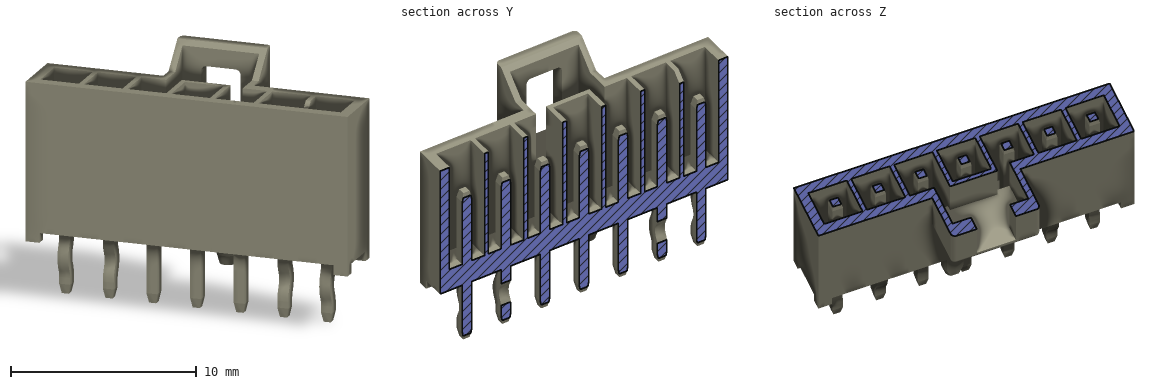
import cadquery as cq

LENGTH = 18.44
DEPTH = 3.5
TOP = 8.48
FOOT_LENGTH = 0.8
FOOT_DEPTH = 0.6
FOOT_HEIGHT = 0.55

PIN_COUNT = 7
PIN_SPAN = 15.0
PITCH = PIN_SPAN / (PIN_COUNT - 1)
ROW_Y = DEPTH / 2
CELL = 2.21
CELL_FLOOR = 1.48
PARTITION = PITCH - CELL
CELL_FRONT = ROW_Y - CELL / 2
CELL_BACK = ROW_Y + CELL / 2
PIN_X = [(i - (PIN_COUNT - 1) / 2) * PITCH for i in range(PIN_COUNT)]

PIN = 0.63
TIP = 0.4
TIP_LENGTH = 0.55
PIN_TOP = 6.27
PIN_BOTTOM = -3.78
SHANK_TOP = PIN_TOP - TIP_LENGTH
SHANK_BOTTOM = PIN_BOTTOM + TIP_LENGTH

BEND_TOP = -0.55
BEND_HALF_LENGTH = 1.15
BULGE = 0.28
BEND_SIDES = {0: -1, 1: 1, PIN_COUNT - 2: 1, PIN_COUNT - 1: -1}

LATCH_WIDTH = 5.16
LATCH_BACK = 6.35
LATCH_RISE = 1.44
LATCH_TOP = TOP + LATCH_RISE
LATCH_BOTTOM = 3.5
LATCH_SIDE_WALL = 0.39
LATCH_BACK_WALL = 0.87
LATCH_TOP_LAND = 0.59
LATCH_FLOOR = LATCH_BOTTOM + LATCH_SIDE_WALL
LATCH_ROUND = 0.25
LATCH_INSIDE = LATCH_WIDTH - 2 * LATCH_SIDE_WALL
POCKET_BACK = LATCH_BACK - LATCH_BACK_WALL
WINDOW_WIDTH = 2.25
WINDOW_TOP = TOP + 0.13
WINDOW_ROUND = 0.3

NOTCH_FLAT = 0.74
NOTCH_DROP = 0.65

PEG_X = PITCH / 2
PEG_Y = 3.12
PEG_RADIUS = 0.6
PEG_TIP_RADIUS = 0.45
PEG_SHOULDER = 1.01
PEG_TIP_LENGTH = 0.55
PEG_ROOT = CELL_FLOOR / 2


def block(x_range, y_range, z_range):
    """Box given by its limits along each axis."""
    corner = (x_range[0], y_range[0], z_range[0])
    size = [high - low for low, high in (x_range, y_range, z_range)]
    return cq.Workplane().box(*size, centered=False).translate(corner)


def centred_block(width, y_range, z_range):
    """Box symmetric about the middle of the housing."""
    return block((-width / 2, width / 2), y_range, z_range)


def make_housing():
    """Plain body with a foot at each lower corner."""
    body = centred_block(LENGTH, (0, DEPTH), (-FOOT_HEIGHT, TOP))
    under = (-FOOT_HEIGHT, 0)
    body = body.cut(centred_block(LENGTH - 2 * FOOT_LENGTH, (0, DEPTH), under))
    return body.cut(centred_block(LENGTH, (FOOT_DEPTH, DEPTH - FOOT_DEPTH), under))


def make_latch():
    """Solid latch block, sloped at the top front and rounded at the back and below."""
    slope_start = LATCH_BACK - LATCH_TOP_LAND
    profile = [
        (CELL_BACK, LATCH_BOTTOM),
        (LATCH_BACK, LATCH_BOTTOM),
        (LATCH_BACK, LATCH_TOP),
        (slope_start, LATCH_TOP),
        (slope_start - LATCH_RISE, TOP),
        (CELL_BACK, TOP),
    ]
    latch = cq.Workplane("YZ").polyline(profile).close().extrude(LATCH_WIDTH / 2, both=True)
    back_corners = latch.edges(">Y and |Z")
    bottom_edges = latch.faces("<Z").edges(">Y or <X or >X")
    return back_corners.add(bottom_edges).fillet(LATCH_ROUND)


def make_latch_pocket():
    """Space behind the middle cells, leaving the back wall of the centre cell standing."""
    heights = (LATCH_FLOOR, LATCH_TOP)
    pocket = centred_block(LATCH_INSIDE, (CELL_BACK, POCKET_BACK), heights)
    centre_wall = centred_block(CELL + 2 * PARTITION, (CELL_BACK, CELL_BACK + PARTITION), heights)
    return pocket.cut(centre_wall)


def make_latch_window():
    """Opening through the back wall of the latch, rounded at its upper corners."""
    window = centred_block(WINDOW_WIDTH, (POCKET_BACK, LATCH_BACK), (LATCH_FLOOR, WINDOW_TOP))
    return window.edges(">Z and |Y").fillet(WINDOW_ROUND)


def make_cell(x):
    return block((x - CELL / 2, x + CELL / 2), (CELL_FRONT, CELL_BACK), (CELL_FLOOR, TOP))


def make_partition_notch():
    """Cut that lowers the front of the partition between the last two cells."""
    ramp_start = CELL_FRONT + NOTCH_FLAT
    profile = [
        (CELL_FRONT, TOP),
        (CELL_FRONT, TOP - NOTCH_DROP),
        (ramp_start, TOP - NOTCH_DROP),
        (ramp_start + NOTCH_DROP, TOP),
    ]
    middle = (PIN_X[-2] + PIN_X[-1]) / 2
    notch = cq.Workplane("YZ").polyline(profile).close().extrude(PARTITION / 2, both=True)
    return notch.translate((middle, 0, 0))


def make_pin_tip(base_z, end_z):
    """Tapered square tip from base_z to end_z."""
    base = cq.Workplane().workplane(offset=base_z).rect(PIN, PIN)
    return base.workplane(offset=end_z - base_z).rect(TIP, TIP).loft(combine=True)


def make_pin(x, bend_side):
    """Square pin; a bend_side of 0 leaves it straight."""
    path = cq.Workplane("YZ").moveTo(0, SHANK_TOP)
    if bend_side:
        bend_middle = BEND_TOP - BEND_HALF_LENGTH
        half_bulge = bend_side * BULGE / 2
        path = (
            path.lineTo(0, BEND_TOP)
            .tangentArcPoint((half_bulge, bend_middle + BEND_HALF_LENGTH / 2), relative=False)
            .tangentArcPoint((half_bulge, bend_middle - BEND_HALF_LENGTH / 2), relative=False)
            .tangentArcPoint((0, bend_middle - BEND_HALF_LENGTH), relative=False)
        )
    path = path.lineTo(0, SHANK_BOTTOM)
    shank = cq.Workplane().workplane(offset=SHANK_TOP).rect(PIN, PIN).sweep(path)
    upper_tip = make_pin_tip(SHANK_TOP, PIN_TOP)
    lower_tip = make_pin_tip(SHANK_BOTTOM, PIN_BOTTOM)
    return shank.union(upper_tip).union(lower_tip).translate((x, ROW_Y, 0))


def make_peg():
    """Round peg with a conical end, trimmed flat at the back face of the housing."""
    tip_z = -PEG_SHOULDER - PEG_TIP_LENGTH
    profile = [
        (0, PEG_ROOT),
        (PEG_RADIUS, PEG_ROOT),
        (PEG_RADIUS, -PEG_SHOULDER),
        (PEG_TIP_RADIUS, tip_z),
        (0, tip_z),
    ]
    peg = cq.Workplane("XZ").polyline(profile).close().revolve(360, (0, 0, 0), (0, 1, 0))
    peg = peg.translate((PEG_X, PEG_Y, 0))
    return peg.intersect(centred_block(LENGTH, (0, DEPTH), (tip_z, TOP)))


result = make_housing().union(make_latch()).union(make_peg())
result = result.cut(make_latch_pocket()).cut(make_latch_window())
for pin_x in PIN_X:
    result = result.cut(make_cell(pin_x))
result = result.cut(make_partition_notch())
for index, pin_x in enumerate(PIN_X):
    result = result.union(make_pin(pin_x, BEND_SIDES.get(index, 0)))